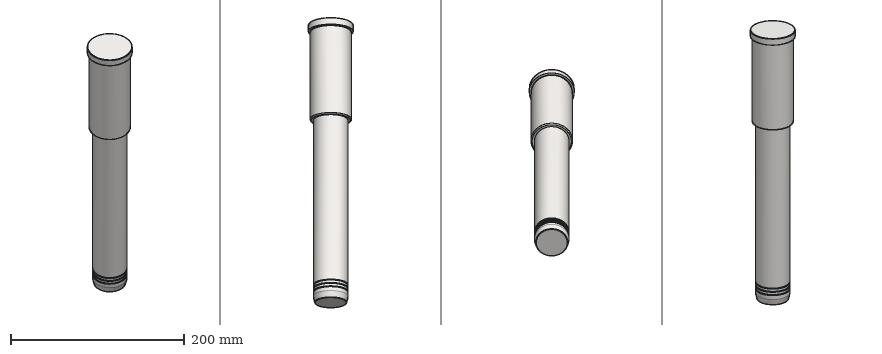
import cadquery as cq

total_length = 340.0
head_diameter = 52.0
head_height = 8.0
head_chamfer = 0.7
collar_diameter = 48.0
collar_end = 117.0
collar_chamfer = 1.5
shaft_diameter = 40.0

relief_width = 1.0
relief_depth = 0.5

groove_count = 3
first_groove_height = 13.3
groove_pitch = 4.0
groove_width = 1.0
groove_depth = 0.5

tip_height = 7.8
tip_end_diameter = 37.0
tip_chamfer = 0.7
tip_bulge = 0.2


def cylinder(diameter, bottom, top):
    return cq.Workplane("XY").workplane(offset=bottom).circle(diameter / 2).extrude(top - bottom)


def ring_cutter(diameter, depth, bottom, width):
    """Ring that cuts a square groove into a cylinder of the given diameter."""
    outer = cylinder(diameter + 2 * depth, bottom, bottom + width)
    return outer.cut(cylinder(diameter - 2 * depth, bottom, bottom + width))


def make_tip():
    shaft_radius = shaft_diameter / 2
    end_radius = tip_end_diameter / 2
    middle = ((shaft_radius + end_radius) / 2 + tip_bulge, (tip_height + tip_chamfer) / 2)
    profile = (
        cq.Workplane("XZ")
        .lineTo(end_radius - tip_chamfer, 0)
        .lineTo(end_radius, tip_chamfer)
        .threePointArc(middle, (shaft_radius, tip_height))
        .lineTo(0, tip_height)
        .close()
    )
    return profile.revolve(360, (0, 0, 0), (0, 1, 0))


head_bottom = total_length - head_height
collar_bottom = total_length - collar_end

head = cylinder(head_diameter, head_bottom, total_length).faces(">Z").chamfer(head_chamfer)
collar = cylinder(collar_diameter, collar_bottom, head_bottom).faces("<Z").chamfer(collar_chamfer)
shaft = cylinder(shaft_diameter, tip_height, collar_bottom)

collar = collar.cut(
    ring_cutter(collar_diameter, relief_depth, head_bottom - relief_width, relief_width)
)

for index in range(groove_count):
    groove_bottom = first_groove_height + index * groove_pitch - groove_width / 2
    shaft = shaft.cut(ring_cutter(shaft_diameter, groove_depth, groove_bottom, groove_width))

result = make_tip().union(shaft).union(collar).union(head)